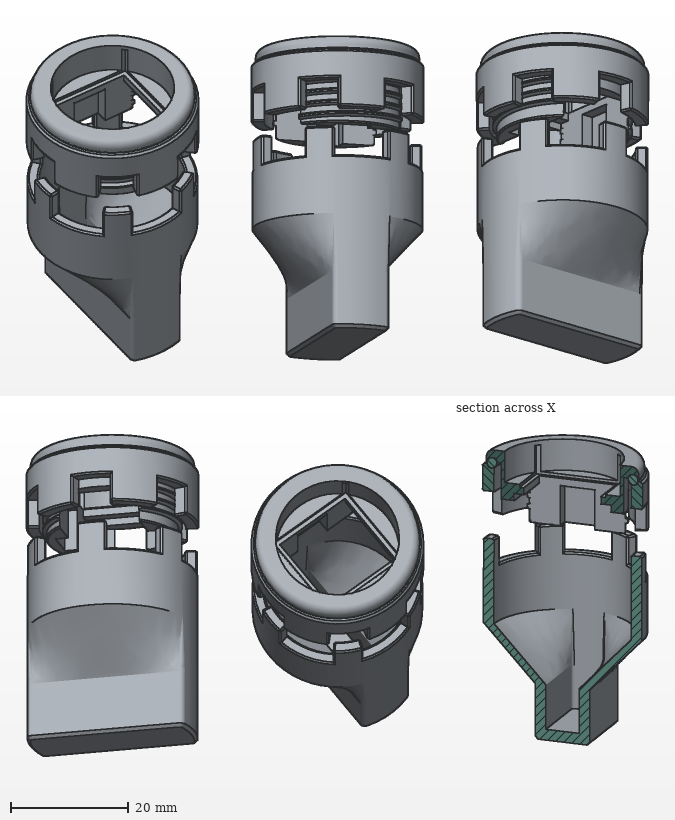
import cadquery as cq
import math

TOOTH_COUNT = 6
TOOTH_PITCH = 360 / TOOTH_COUNT
FIRST_TOOTH_ANGLE = 30
BORE_DIAMETER = 25.0
CROWN_CHAMFER = 0.3
TOLERANCE = 0.005

BASE_DIAMETER = 29
WALL = (BASE_DIAMETER - BORE_DIAMETER) / 2
HANDLE_WIDTH = 10.05
HANDLE_TOP = 9.95
SOCKET_BOTTOM = 19.8
CRENEL_FLOOR = 30.0
BASE_TOP = 34.95
HANDLE_ROUND = 1
END_BULGE = 0.5
ROUND_WIDTH_AT_SOCKET = 0.15
HANDLE_BOTTOM_CHAMFER = 0.55
MERLON_HALF_ANGLE = 10.3

RING_DIAMETER = 29.35
RING_BOTTOM = 38.45
NOTCH_TOP = 43.35
RING_TOP = 48.35
RING_TOP_CHAMFER = 0.4
NOTCH_HALF_ANGLE = 16
NOTCH_APEX_RADIUS = 2.5

OVERALL_HEIGHT = 50.9
FLANGE_DIAMETER = 28
FLANGE_BOTTOM = 48.65
FLANGE_ROUND = 1.5
CUP_DIAMETER = 21.0
CUP_FLOOR = 45.3
WINDOW = 14.0
FRAME = 15.65
FRAME_FLOOR = 44.8
FRAME_TOP = 50.1
NECK_DIAMETER = 22.5
NECK_BOTTOM = 42.2
SIDE_RELIEF_LENGTH = 17.7
RELIEF_TOP = 43.45
RECESS_WIDTH = 6.3
RECESS_DEPTH = 2.2
LEG_BOTTOM = 36.3
LEG_CHAMFER = 0.25

THREAD_DIAMETER = 23.8
THREAD_PITCH = 2.0
THREAD_START = 37.35
THREAD_START_ANGLE = 90
THREAD_TURNS = 3.5
THREAD_ROOT_WIDTH = 1.1
THREAD_CREST_WIDTH = 0.3
THREAD_EMBED = 0.15
THREAD_SPAN = 18.3

SEAL_SECTION = 1.8
SEAL_INNER_DIAMETER = 24.0
SEAL_HEIGHT = (RING_TOP + FLANGE_BOTTOM) / 2


def cylinder(diameter, bottom, top):
    return cq.Workplane("XY").workplane(offset=bottom).circle(diameter / 2).extrude(top - bottom)


def box(x_size, y_size, bottom, top):
    return cq.Workplane("XY").workplane(offset=bottom).rect(x_size, y_size).extrude(top - bottom)


def sectors(half_angle, apex, bottom, top):
    """Wedges that point at the Z axis from the given apex radius, one at each tooth position."""
    reach = RING_DIAMETER
    side = reach * math.tan(math.radians(half_angle))
    wedge = (
        cq.Workplane("XY").workplane(offset=bottom)
        .polyline([(apex, 0), (apex + reach, -side), (apex + reach, side)]).close()
        .extrude(top - bottom)
    )
    wedges = cq.Workplane("XY")
    for index in range(TOOTH_COUNT):
        angle = FIRST_TOOTH_ANGLE + index * TOOTH_PITCH
        wedges = wedges.add(wedge.rotate((0, 0, 0), (0, 0, 1), angle))
    return wedges.combine()


def seal_torus():
    """O-ring; it also shapes the grooves that hold it in the flange and the clamp ring."""
    radius = (SEAL_INNER_DIAMETER + SEAL_SECTION) / 2
    return (
        cq.Workplane("XZ").center(radius, SEAL_HEIGHT).circle(SEAL_SECTION / 2)
        .revolve(360, (-radius, 0), (-radius, 1))
    )


def chamfer_crown(body, walls, bottom, top, tip, size):
    """Chamfer a toothed rim along the round walls of the given diameters and across the tooth tips."""
    def on_walls(point):
        return any(abs(2 * math.hypot(point.x, point.y) - wall) < TOLERANCE for wall in walls)

    def on_rim(edge):
        ends = (edge.startPoint(), edge.endPoint())
        if edge.IsClosed() or not all(bottom - TOLERANCE < end.z < top + TOLERANCE for end in ends):
            return False
        first_radius, last_radius = (math.hypot(end.x, end.y) for end in ends)
        if abs(first_radius - last_radius) < TOLERANCE:
            return on_walls(ends[0])
        return all(abs(end.z - tip) < TOLERANCE for end in ends)

    return body.newObject([edge for edge in body.val().Edges() if on_rim(edge)]).chamfer(size)


def handle_outline(radius, half_width, height, corner):
    """Section with flat sides, bulged ends and rounded corners."""
    inner = radius - corner
    corner_y = half_width - corner
    corner_x = math.sqrt(inner ** 2 - corner_y ** 2)
    end_x = corner_x * radius / inner
    end_y = corner_y * radius / inner
    mid_angle = (math.atan2(corner_y, corner_x) + math.pi / 2) / 2
    mid_x = corner_x + corner * math.cos(mid_angle)
    mid_y = corner_y + corner * math.sin(mid_angle)
    return (
        cq.Workplane("XY").workplane(offset=height)
        .moveTo(end_x, -end_y)
        .threePointArc((radius + END_BULGE, 0), (end_x, end_y))
        .threePointArc((mid_x, mid_y), (corner_x, half_width))
        .lineTo(-corner_x, half_width)
        .threePointArc((-mid_x, mid_y), (-end_x, end_y))
        .threePointArc((-radius - END_BULGE, 0), (-end_x, -end_y))
        .threePointArc((-mid_x, -mid_y), (-corner_x, -half_width))
        .lineTo(corner_x, -half_width)
        .threePointArc((mid_x, -mid_y), (end_x, -end_y))
        .close()
    )


def round_outline(radius, half_width, height):
    """Socket circle split into the same eight stretches as the handle outline, with the ends bulged."""
    outer = math.asin(half_width / radius)
    inner = math.asin((half_width - ROUND_WIDTH_AT_SOCKET) / radius)
    stops = [-inner, inner, outer, math.pi - outer, math.pi - inner]
    stops += [math.pi + inner, math.pi + outer, 2 * math.pi - outer, 2 * math.pi - inner]

    def at(angle, distance=radius):
        return (distance * math.cos(angle), distance * math.sin(angle))

    outline = cq.Workplane("XY").workplane(offset=height).moveTo(*at(stops[0]))
    for start, end in zip(stops, stops[1:]):
        middle = (start + end) / 2
        is_end = abs(math.sin(middle)) < TOLERANCE
        outline = outline.threePointArc(at(middle, radius + END_BULGE if is_end else radius), at(end))
    return outline.close()


def handle_shape(radius, half_width, bottom, corner):
    """Flat handle joined to the taper that rises from it to the round socket."""
    handle = handle_outline(radius, half_width, bottom, corner).extrude(HANDLE_TOP - bottom)
    lower = handle_outline(radius, half_width, HANDLE_TOP, corner).val()
    upper = round_outline(radius, half_width, SOCKET_BOTTOM).val()
    taper = cq.Solid.makeLoft([lower, upper], True)
    limits = cylinder(2 * radius, bottom, SOCKET_BOTTOM)
    return handle.union(cq.Workplane(taper)).intersect(limits)


def make_base():
    radius = BASE_DIAMETER / 2
    handle = handle_shape(radius, HANDLE_WIDTH / 2, 0, HANDLE_ROUND)
    handle = handle.faces("<Z").chamfer(HANDLE_BOTTOM_CHAMFER)
    body = handle.union(cylinder(BASE_DIAMETER, SOCKET_BOTTOM, BASE_TOP))

    pocket = handle_shape(radius - WALL, HANDLE_WIDTH / 2 - WALL, WALL, HANDLE_ROUND / 2)
    socket = cylinder(BORE_DIAMETER, SOCKET_BOTTOM, BASE_TOP)
    body = body.cut(pocket).cut(socket)

    crown = cylinder(BASE_DIAMETER, CRENEL_FLOOR, BASE_TOP)
    crenels = crown.cut(sectors(MERLON_HALF_ANGLE, 0, CRENEL_FLOOR, BASE_TOP))
    body = body.cut(crenels)
    walls = (BASE_DIAMETER, BORE_DIAMETER)
    return chamfer_crown(body, walls, CRENEL_FLOOR, BASE_TOP, BASE_TOP, CROWN_CHAMFER)


def make_ring():
    ring = cylinder(RING_DIAMETER, RING_BOTTOM, RING_TOP)
    ring = ring.faces(">Z").chamfer(RING_TOP_CHAMFER)
    ring = ring.cut(cylinder(BORE_DIAMETER, RING_BOTTOM, RING_TOP))
    ring = ring.cut(sectors(NOTCH_HALF_ANGLE, NOTCH_APEX_RADIUS, RING_BOTTOM, NOTCH_TOP))
    ring = chamfer_crown(ring, (RING_DIAMETER,), RING_BOTTOM, NOTCH_TOP, RING_BOTTOM, CROWN_CHAMFER)
    return ring.cut(seal_torus())


def make_thread():
    root = NECK_DIAMETER / 2
    crest = THREAD_DIAMETER / 2
    helix = cq.Wire.makeHelix(THREAD_PITCH, THREAD_PITCH * THREAD_TURNS, root)
    ridge = (
        cq.Workplane("XZ")
        .polyline([
            (root - THREAD_EMBED, -THREAD_ROOT_WIDTH / 2),
            (crest, -THREAD_CREST_WIDTH / 2),
            (crest, THREAD_CREST_WIDTH / 2),
            (root - THREAD_EMBED, THREAD_ROOT_WIDTH / 2),
        ]).close()
        .sweep(cq.Workplane(helix), isFrenet=True)
    )
    ridge = ridge.rotate((0, 0, 0), (0, 0, 1), THREAD_START_ANGLE).translate((0, 0, THREAD_START))
    return ridge.intersect(box(RING_DIAMETER, THREAD_SPAN, LEG_BOTTOM, FLANGE_BOTTOM))


def make_insert():
    flange = cylinder(FLANGE_DIAMETER, FLANGE_BOTTOM, OVERALL_HEIGHT)
    flange = flange.faces(">Z").edges().fillet(FLANGE_ROUND)
    neck = cylinder(NECK_DIAMETER, LEG_BOTTOM, FLANGE_BOTTOM).faces("<Z").chamfer(LEG_CHAMFER)

    neck = neck.cut(box(WINDOW, NECK_DIAMETER, LEG_BOTTOM, NECK_BOTTOM))
    thread = make_thread().cut(box(WINDOW, RING_DIAMETER, LEG_BOTTOM, FLANGE_BOTTOM))
    insert = flange.union(neck).union(thread)

    insert = insert.cut(box(WINDOW, SIDE_RELIEF_LENGTH, LEG_BOTTOM, RELIEF_TOP))
    insert = insert.cut(box(WINDOW + 2 * RECESS_DEPTH, RECESS_WIDTH, LEG_BOTTOM, RELIEF_TOP))

    insert = insert.cut(cylinder(CUP_DIAMETER, CUP_FLOOR, OVERALL_HEIGHT))
    insert = insert.cut(box(FRAME, FRAME, FRAME_FLOOR, FRAME_TOP))
    insert = insert.cut(box(WINDOW, WINDOW, NECK_BOTTOM, FRAME_FLOOR))
    return insert.cut(seal_torus())


base = make_base()
ring = make_ring()
insert = make_insert()
seal = seal_torus()

result = cq.Compound.makeCompound([base.val(), ring.val(), insert.val(), seal.val()])